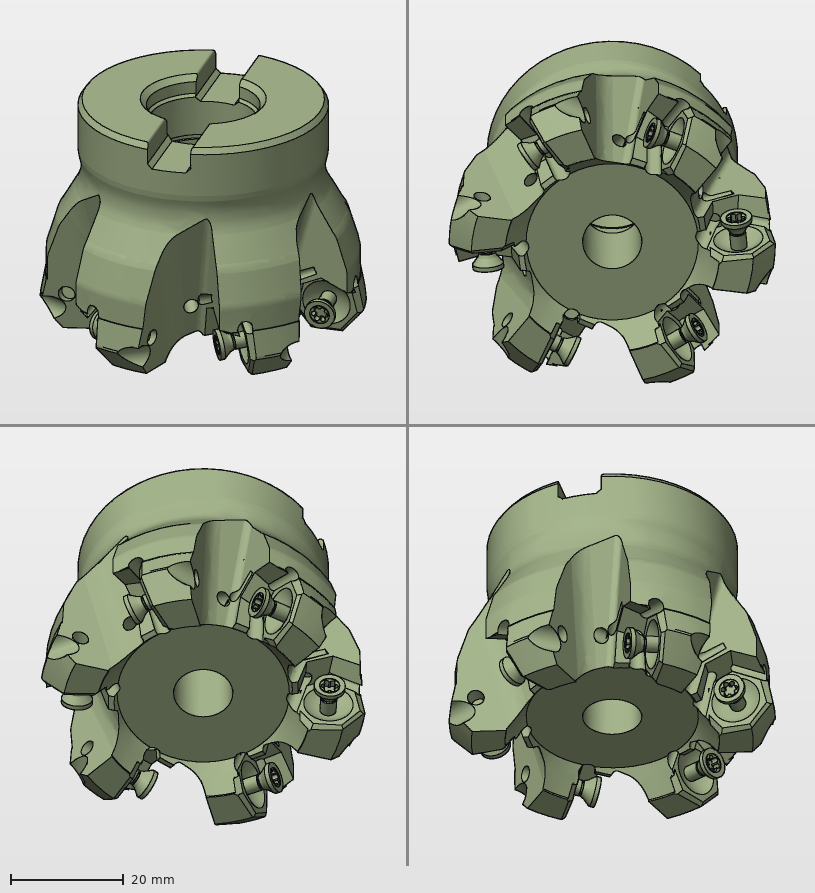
import cadquery as cq
import math


TEETH = 6
PITCH = 360 / TEETH

HEIGHT = 43.3
COLLAR_R = 22.3
TOP_CHAMFER_W = 0.75
TOP_CHAMFER_H = 1.1
COLLAR_BOTTOM_Z = 34.1
NECK_TOP = (22.2, 33.0)
NECK_WAIST = (21.8, 29.65)
NECK_BOTTOM = (22.7, 26.7)
UPPER_BEND_TOP = (25.35, 22.1)
UPPER_BEND_MIDDLE = (25.85, 21.4)
UPPER_BEND_BOTTOM = (26.2, 20.65)
LOWER_BEND_TOP = (27.7, 15.65)
LOWER_BEND_MIDDLE = (27.9, 14.85)
TOOTH_R = 27.95
TOOTH_TOP_Z = 14.05
STEP_Z = 9.9
STEP_W = 0.2
TIP_R = 29.0
TIP_TOP_Z = 5.1
TIP_BOTTOM_Z = 4.6
END_FACE_R = 25.1

MOUTH_R = 10.1
MOUTH_CHAMFER = 1.1
MOUTH_DEPTH = 3.35
BORE_R = 9.6
RELIEF_R = 9.95
RELIEF_TOP_Z = 32.15
RELIEF_H = 0.8
LOWER_BORE_R = 9.4
BORE_FLOOR_Z = 20.8
THROUGH_R = 5.25
THROUGH_CHAMFER = 0.35

RECESS_RIM_R = 19.05
RECESS_RIM_H = 0.35
RECESS_TOP_R = 15.3
RECESS_DEPTH = 5.5

SLOT_W = 8.0
SLOT_DEPTH = 4.75
SLOT_CORNER = 0.85
SLOT_EDGE_R = 0.45

FRONT_Y = -3.9
FLOOR_R = 13.6
FLOOR_SLOPE = 0.26
BACK_OFFSET = 4.45
BACK_SLOPE_Z = 0.11
BACK_SLOPE_R = 0.22
FRONT_CORNER_R = 1.15
BACK_CORNER_R = 5.8
FLUTE_BOTTOM_Z = -2.9
FLUTE_TOP_Z = 37.55
FLUTE_REACH = 46.25

SEAT_X = 22.35
SEAT_Y = 1.5
SEAT_Z = 5.85
RAKE = 7.0
INSERT_SIDES = 7
SEAT_TURN = 63.0
WALL_OFFSETS = (5.3, 5.6, 5.2)
WALL_DRAFTS = (21.0, 14.0, 2.0)
SEAT_DEPTH = 7.5
SEAT_REACH = 23.1
INNER_WALL_DROP = 1.75
INNER_RELIEF_W = 4.6
INNER_RELIEF_FALL = 1.45
UPPER_GROOVE_R = 1.4
UPPER_GROOVE_OFFSET = 6.55
UPPER_GROOVE_LIFT = 0.2
CORNER_GROOVE_R = 0.9
CORNER_GROOVE_OFFSET = 8.45
CORNER_GROOVE_LIFT = 4.9
CORNER_GROOVE_START = 3.2
INNER_GROOVE_R = 1.5
INNER_GROOVE_OFFSET = 5.7
INNER_GROOVE_LIFT = 1.2
INNER_GROOVE_TOP = 5.8
LAND_APOTHEM = 5.25
LAND_ANGLE = 45.0
LAND_DROP = 4.6
LAND_INNER_U = -5.0
LAND_TOP_V = 3.45
DISH_R = 4.4
DISH_DEPTH = 1.75

HEAD_TOP = 4.55
HEAD_R = 2.8
HEAD_H = 0.8
CONE_H = 1.3
NECK_R = 1.75
NECK_H = 0.7
UNDERCUT_R = 1.1
UNDERCUT_H = 0.35
SHANK_R = 1.45
SCREW_TIP = -6.7
HOLE_END = -14.45
SOCKET_RIM_R = 1.8
SOCKET_RIM_H = 0.2
SOCKET_CORE_R = 1.1
SOCKET_LOBES = 6
SOCKET_LOBE_R = 0.435
SOCKET_DEPTH = 1.4

NOTCH_R = 2.4
NOTCH_X = 26.9
NOTCH_Y = 10.4
NOTCH_Z = 3.95
NOTCH_ANGLE = 63.0
NOTCH_LENGTH = 11.55

COOLANT_R = 1.35
COOLANT_OVERRUN = 3.45
COOLANT_START = (4.85, -7.15, BORE_FLOOR_Z)
COOLANT_END = (16.75, -6.25, 10.2)


def turned(half_outline):
    """Solid turned about Z from an outline drawn from the axis and back to it."""
    return half_outline.close().revolve(360, (0, 0, 0), (0, 1, 0))


def make_blank():
    profile = (
        cq.Workplane("XZ")
        .moveTo(0, 0)
        .lineTo(END_FACE_R, 0)
        .lineTo(TIP_R, TIP_BOTTOM_Z)
        .lineTo(TIP_R, TIP_TOP_Z)
        .lineTo(TOOTH_R + STEP_W, STEP_Z)
        .lineTo(TOOTH_R, STEP_Z)
        .lineTo(TOOTH_R, TOOTH_TOP_Z)
        .threePointArc(LOWER_BEND_MIDDLE, LOWER_BEND_TOP)
        .lineTo(*UPPER_BEND_BOTTOM)
        .threePointArc(UPPER_BEND_MIDDLE, UPPER_BEND_TOP)
        .lineTo(*NECK_BOTTOM)
        .threePointArc(NECK_WAIST, NECK_TOP)
        .lineTo(COLLAR_R, COLLAR_BOTTOM_Z)
        .lineTo(COLLAR_R, HEIGHT - TOP_CHAMFER_H)
        .lineTo(COLLAR_R - TOP_CHAMFER_W, HEIGHT)
        .lineTo(0, HEIGHT)
    )
    return turned(profile)


def make_bore():
    mouth_z = HEIGHT - MOUTH_DEPTH
    step = MOUTH_R - BORE_R
    profile = (
        cq.Workplane("XZ")
        .moveTo(0, 0)
        .lineTo(RECESS_RIM_R, 0)
        .lineTo(RECESS_RIM_R, RECESS_RIM_H)
        .lineTo(RECESS_TOP_R, RECESS_DEPTH)
        .lineTo(THROUGH_R, RECESS_DEPTH)
        .lineTo(THROUGH_R, BORE_FLOOR_Z - THROUGH_CHAMFER)
        .lineTo(THROUGH_R + THROUGH_CHAMFER, BORE_FLOOR_Z)
        .lineTo(LOWER_BORE_R, BORE_FLOOR_Z)
        .lineTo(LOWER_BORE_R, RELIEF_TOP_Z - RELIEF_H)
        .lineTo(RELIEF_R, RELIEF_TOP_Z - RELIEF_H)
        .lineTo(RELIEF_R, RELIEF_TOP_Z)
        .lineTo(BORE_R, RELIEF_TOP_Z)
        .lineTo(BORE_R, mouth_z - step)
        .lineTo(MOUTH_R, mouth_z)
        .lineTo(MOUTH_R, HEIGHT - MOUTH_CHAMFER)
        .lineTo(MOUTH_R + MOUTH_CHAMFER, HEIGHT)
        .lineTo(0, HEIGHT)
    )
    return turned(profile)


def cut_slot(body):
    floor_z = HEIGHT - SLOT_DEPTH
    slot = (
        cq.Workplane("XY", origin=(0, 0, floor_z))
        .rect(SLOT_W, 3 * COLLAR_R)
        .extrude(2 * SLOT_DEPTH)
        .faces("<Z")
        .edges("|Y")
        .chamfer(SLOT_CORNER)
    )
    return body.cut(slot).faces(">Z").edges("|Y").fillet(SLOT_EDGE_R)


def flute_corners(z):
    """Corners of the flute floor at height z: at the front face and at the back face."""
    floor_x = FLOOR_R + FLOOR_SLOPE * z
    c = math.cos(math.radians(PITCH))
    s = math.sin(math.radians(PITCH))
    along_x = s - BACK_SLOPE_R * c
    along_y = c + BACK_SLOPE_R * s
    back_y = (BACK_OFFSET + BACK_SLOPE_Z * z - along_x * floor_x) / along_y
    outward = cq.Vector(along_y, -along_x, 0).normalized() * FLUTE_REACH
    front = cq.Vector(floor_x, FRONT_Y, z)
    back = cq.Vector(floor_x, back_y, z)
    return front, back, outward


def make_flute():
    sections = []
    for z in (FLUTE_BOTTOM_Z, FLUTE_TOP_Z):
        front, back, outward = flute_corners(z)
        far_front = front + cq.Vector(FLUTE_REACH, 0, 0)
        sections.append(cq.Wire.makePolygon([front, far_front, back + outward, back], close=True))
    flute = cq.Workplane(cq.Solid.makeLoft(sections, True))
    middle = (FLUTE_BOTTOM_Z + FLUTE_TOP_Z) / 2
    front, back, _ = flute_corners(middle)
    flute = flute.edges(cq.selectors.NearestToPointSelector(back.toTuple())).fillet(BACK_CORNER_R)
    return flute.edges(cq.selectors.NearestToPointSelector(front.toTuple())).fillet(FRONT_CORNER_R)


def seat_plane(lift=0.0):
    """Plane of the seat floor: x points outward, y up and the normal out of the seat."""
    rake = math.radians(RAKE)
    normal = cq.Vector(0, -math.cos(rake), -math.sin(rake))
    origin = cq.Vector(SEAT_X, SEAT_Y, SEAT_Z) + normal * lift
    return cq.Plane(origin=origin, xDir=(1, 0, 0), normal=normal)


def seat_turned(points):
    """Solid of revolution about the seat axis, from (radius, height above the floor) points."""
    plane = seat_plane()
    side = cq.Plane(origin=plane.origin, xDir=plane.xDir, normal=plane.xDir.cross(plane.zDir))
    return cq.Workplane(side).polyline(points).close().revolve(360, (0, 0, 0), (0, 1, 0))


def polar(radius, degrees):
    angle = math.radians(degrees)
    return cq.Vector(radius * math.cos(angle), radius * math.sin(angle), 0)


def pocket_outline(height):
    """Pocket section at a height above the seat floor, in the axes of the seat plane."""
    step = 360 / INSERT_SIDES
    turns = [SEAT_TURN + step * side for side in range(len(WALL_OFFSETS))]
    offsets = [
        offset + height * math.tan(math.radians(draft)) for offset, draft in zip(WALL_OFFSETS, WALL_DRAFTS)
    ]
    points = [polar(offsets[0], turns[0]) + polar(SEAT_REACH, turns[0] - 90)]
    for side in range(len(turns) - 1):
        run = offsets[side + 1] - offsets[side] * math.cos(math.radians(step))
        run /= math.sin(math.radians(step))
        points.append(polar(offsets[side], turns[side]) + polar(run, turns[side] + 90))
    foot = polar(offsets[-1], turns[-1]) + polar(INNER_WALL_DROP, turns[-1] + 90)
    relief_end = foot - cq.Vector(INNER_RELIEF_W, INNER_RELIEF_FALL, 0)
    return [*points, foot, relief_end, relief_end - cq.Vector(0, SEAT_REACH, 0)]


def make_pocket():
    """Insert pocket: three drafted walls of the insert polygon, open outward and downward."""
    sections = []
    for height in (0, SEAT_DEPTH):
        plane = seat_plane(height)
        corners = [plane.toWorldCoords(point) for point in pocket_outline(height)]
        sections.append(cq.Wire.makePolygon(corners, close=True))
    return cq.Workplane(cq.Solid.makeLoft(sections, True))


def make_wall_groove(side, radius, offset, lift, run_before, run_after):
    """Round groove along the foot of pocket wall number `side`, counted from the upper wall."""
    plane = seat_plane(lift)
    turn = SEAT_TURN + side * 360 / INSERT_SIDES
    start = plane.toWorldCoords(polar(offset, turn) + polar(run_before, turn - 90))
    end = plane.toWorldCoords(polar(offset, turn) + polar(run_after, turn + 90))
    axis = end - start
    return cq.Workplane(cq.Solid.makeCylinder(radius, axis.Length, start, axis))


def insert_polygon(apothem, height):
    """Wire of the insert polygon at a height above the seat floor."""
    step = 360 / INSERT_SIDES
    corner_r = apothem / math.cos(math.radians(step / 2))
    plane = seat_plane(height)
    corners = [
        plane.toWorldCoords(polar(corner_r, SEAT_TURN + step * (side + 0.5))) for side in range(INSERT_SIDES)
    ]
    return cq.Wire.makePolygon(corners, close=True)


def make_land():
    """Tooth material sloped away outside the open sides of the seat floor."""
    spread = LAND_DROP * math.tan(math.radians(LAND_ANGLE))
    pedestal = cq.Solid.makeLoft(
        [insert_polygon(LAND_APOTHEM, 0), insert_polygon(LAND_APOTHEM + spread, -LAND_DROP)], True
    )
    slab = (
        cq.Workplane(seat_plane())
        .moveTo(LAND_INNER_U, LAND_TOP_V)
        .lineTo(SEAT_REACH, LAND_TOP_V)
        .lineTo(SEAT_REACH, -SEAT_REACH)
        .lineTo(LAND_INNER_U, -SEAT_REACH)
        .close()
        .extrude(-LAND_DROP)
    )
    return slab.cut(cq.Workplane(pedestal))


def make_dish():
    """Spherical hollow in the seat floor around the screw."""
    sphere_r = (DISH_R**2 + DISH_DEPTH**2) / (2 * DISH_DEPTH)
    sphere = cq.Workplane(seat_plane(sphere_r - DISH_DEPTH)).sphere(sphere_r)
    below_floor = cq.Workplane(seat_plane()).circle(DISH_R).extrude(-DISH_DEPTH)
    return sphere.intersect(below_floor)


def make_seat():
    upper_groove = make_wall_groove(
        0, UPPER_GROOVE_R, UPPER_GROOVE_OFFSET, UPPER_GROOVE_LIFT, SEAT_REACH / 2, SEAT_REACH / 2
    )
    corner_groove = make_wall_groove(
        1, CORNER_GROOVE_R, CORNER_GROOVE_OFFSET, CORNER_GROOVE_LIFT, CORNER_GROOVE_START, SEAT_REACH / 2
    )
    inner_groove = make_wall_groove(
        2, INNER_GROOVE_R, INNER_GROOVE_OFFSET, INNER_GROOVE_LIFT, INNER_GROOVE_TOP, SEAT_REACH / 2
    )
    hole = cq.Workplane(seat_plane()).circle(SHANK_R).extrude(HOLE_END)
    return [make_pocket(), upper_groove, corner_groove, inner_groove, make_land(), make_dish(), hole]


def make_notch():
    angle = math.radians(NOTCH_ANGLE)
    direction = cq.Vector(math.sin(angle), -math.cos(angle), 0)
    start = cq.Vector(NOTCH_X, NOTCH_Y, NOTCH_Z) - direction * (NOTCH_LENGTH / 2)
    return cq.Workplane(cq.Solid.makeCylinder(NOTCH_R, NOTCH_LENGTH, start, direction))


def make_coolant_hole():
    end = cq.Vector(*COOLANT_END)
    axis = end - cq.Vector(*COOLANT_START)
    overrun = axis.normalized() * COOLANT_OVERRUN
    start = cq.Vector(*COOLANT_START) - overrun
    length = axis.Length + 2 * COOLANT_OVERRUN
    return cq.Workplane(cq.Solid.makeCylinder(COOLANT_R, length, start, axis))


def turn_to_tooth(shape, tooth):
    return shape.rotate((0, 0, 0), (0, 0, 1), tooth * PITCH)


def make_cutter():
    body = cut_slot(make_blank().cut(make_bore()))
    cutters = [make_flute(), *make_seat(), make_notch(), make_coolant_hole()]
    for tooth in range(TEETH):
        for cutter in cutters:
            body = body.cut(turn_to_tooth(cutter, tooth))
    return body


def make_screw():
    cone_top = HEAD_TOP - HEAD_H
    cone_bottom = cone_top - CONE_H
    neck_bottom = cone_bottom - NECK_H
    undercut_bottom = neck_bottom - UNDERCUT_H
    screw = seat_turned(
        [
            (0, HEAD_TOP),
            (HEAD_R, HEAD_TOP),
            (HEAD_R, cone_top),
            (NECK_R, cone_bottom),
            (SHANK_R, neck_bottom),
            (UNDERCUT_R, neck_bottom),
            (UNDERCUT_R, undercut_bottom),
            (SHANK_R, undercut_bottom),
            (SHANK_R, SCREW_TIP),
            (0, SCREW_TIP),
        ]
    )
    rim_floor = HEAD_TOP - SOCKET_RIM_H
    rim = cq.Workplane(seat_plane(rim_floor)).circle(SOCKET_RIM_R).extrude(SOCKET_RIM_H)
    core = cq.Workplane(seat_plane(rim_floor)).circle(SOCKET_CORE_R).extrude(-SOCKET_DEPTH)
    lobes = (
        cq.Workplane(seat_plane(rim_floor))
        .polarArray(SOCKET_CORE_R, 0, 360, SOCKET_LOBES)
        .circle(SOCKET_LOBE_R)
        .extrude(-SOCKET_DEPTH)
    )
    return screw.cut(rim).cut(core.union(lobes))


cutter_body = make_cutter()
pattern_screw = make_screw()
screws = [turn_to_tooth(pattern_screw, tooth).solids().val() for tooth in range(TEETH)]

result = cq.Compound.makeCompound([cutter_body.solids().val(), *screws])